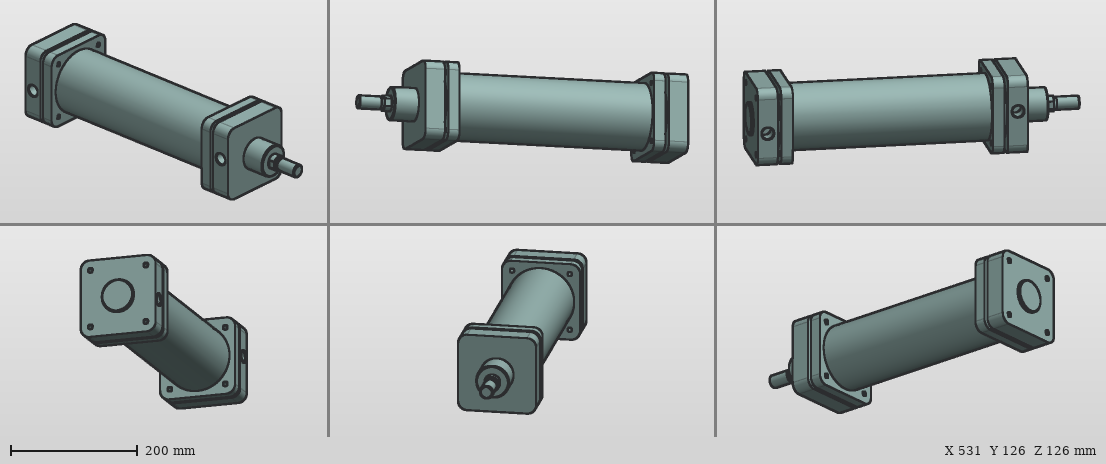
import cadquery as cq

total_length = 531.0
boss_diameter = 53.0
boss_chamfer = 1.5
rear_boss_length = 4.0
front_boss_length = 40.0
cap_thickness = 32.0
flange_thickness = 18.5
flange_gap = 6.0
barrel_length = 370.0
barrel_diameter = 107.0
rear_cap_start = rear_boss_length
barrel_start = rear_cap_start + cap_thickness
barrel_end = barrel_start + barrel_length
front_cap_end = barrel_end + cap_thickness
front_boss_end = front_cap_end + front_boss_length

plate_side = 126.0
corner_radius = 15.0

port_diameter = 18.5
port_chamfer = 1.0
port_depth = 26.5
port_offset = 8.0

tie_spacing = 93.0
tie_diameter = 7.0
tie_chamfer = 0.5
tie_depth = 16.0

rod_diameter = 25.0
flats_width = 22.0
flats_start = 479.0
flats_end = 489.5
neck_diameter = 18.5
thread_start = 494.5
thread_diameter = 21.0
thread_chamfer = 1.5


def disc(start, end, diameter):
    """Round bar along the axis from X = start to X = end."""
    return cq.Workplane("YZ", origin=(start, 0, 0)).circle(diameter / 2).extrude(end - start)


def plate(start, thickness):
    """Square plate with rounded corners, from X = start towards +X."""
    square = cq.Workplane("YZ", origin=(start, 0, 0)).rect(plate_side, plate_side)
    return square.extrude(thickness).edges("|X").fillet(corner_radius)


def countersunk_cutter(diameter, chamfer, depth):
    """Round hole cutter from the origin along +X, flared by a 45 degree chamfer at its mouth."""
    flare = cq.Solid.makeCone(
        diameter / 2 + chamfer, diameter / 2, chamfer, cq.Vector(0, 0, 0), cq.Vector(1, 0, 0)
    )
    return disc(0, depth, diameter).union(cq.Workplane(flare))


def cut_tie_holes(body, start, depth):
    """Cut a tie hole near each corner of a plate, from its face at X = start towards +X."""
    cutter = countersunk_cutter(tie_diameter, tie_chamfer, depth)
    for y in (-tie_spacing / 2, tie_spacing / 2):
        for z in (-tie_spacing / 2, tie_spacing / 2):
            body = body.cut(cutter.translate((start, y, z)))
    return body


def cut_port(body, x, z):
    """Cut a blind port into the -Y face of a cap."""
    cutter = countersunk_cutter(port_diameter, port_chamfer, port_depth)
    cutter = cutter.rotate((0, 0, 0), (0, 0, 1), 90)
    return body.cut(cutter.translate((x, -plate_side / 2, z)))


def make_barrel():
    """Plain round barrel held between the inner faces of the caps."""
    return disc(barrel_start, barrel_end, barrel_diameter)


def make_flange(start):
    """Plate around the barrel, with a tie hole through each corner."""
    body = plate(start, flange_thickness)
    body = body.cut(disc(start, start + flange_thickness, barrel_diameter))
    return cut_tie_holes(body, start, flange_thickness)


def make_rear_cap():
    """Closed end cap with a shallow boss, a low port and blind tie holes."""
    boss = disc(0, rear_cap_start, boss_diameter).faces("<X").chamfer(boss_chamfer)
    body = plate(rear_cap_start, cap_thickness).union(boss)
    body = cut_port(body, rear_cap_start + cap_thickness / 2, -port_offset)
    return cut_tie_holes(body, rear_cap_start, tie_depth)


def make_front_cap():
    """End cap with a long boss bored for the rod and a high port."""
    boss = disc(front_cap_end, front_boss_end, boss_diameter).faces(">X").chamfer(boss_chamfer)
    body = plate(barrel_end, cap_thickness).union(boss)
    body = body.cut(disc(barrel_end, front_boss_end, rod_diameter))
    return cut_port(body, barrel_end + cap_thickness / 2, port_offset)


def make_rod():
    """Piston rod with two wrench flats, a relief neck and a chamfered thread end."""
    flats = cq.Workplane("YZ", origin=(flats_start, 0, 0)).rect(flats_width, rod_diameter)
    flats = flats.extrude(flats_end - flats_start)
    shank = disc(barrel_end, flats_start, rod_diameter)
    shank = shank.union(disc(flats_start, flats_end, rod_diameter).intersect(flats))
    neck = disc(flats_end, thread_start, neck_diameter)
    thread = disc(thread_start, total_length, thread_diameter).faces(">X").chamfer(thread_chamfer)
    return shank.union(neck).union(thread)


barrel = make_barrel()
rear_cap = make_rear_cap()
front_cap = make_front_cap()
rod = make_rod()

rear_flange_start = barrel_start + flange_gap
front_flange_start = barrel_end - flange_gap - flange_thickness
flanges = [make_flange(start) for start in (rear_flange_start, front_flange_start)]

result = cq.Compound.makeCompound(
    [
        barrel.val(),
        rear_cap.val(),
        front_cap.val(),
        *[flange.val() for flange in flanges],
        rod.val(),
    ]
)